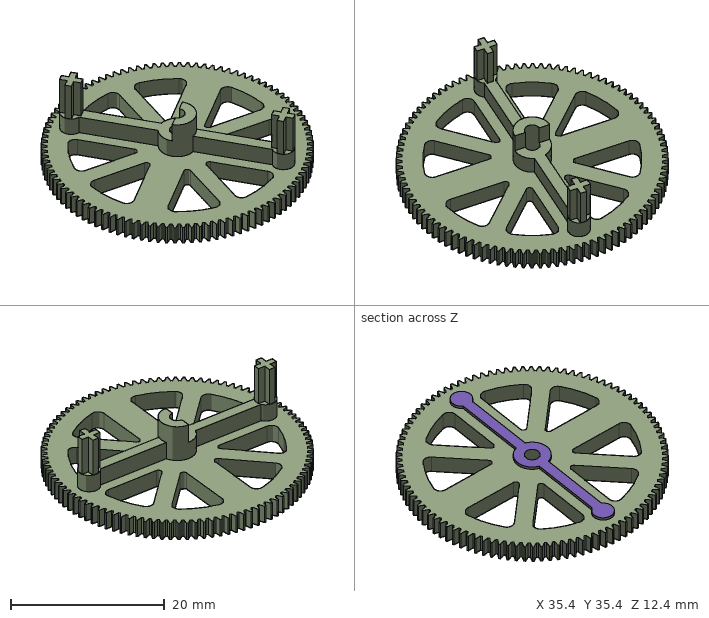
import cadquery as cq
import math

outer_dia = 35.4
tooth_count = 100
tooth_depth = 0.78
tip_width = 0.23
root_gap = 0.3
wheel_thickness = 2.5

rim_inner_radius = 14.23
main_spoke_width = 4.6
diagonal_spoke_width = 2.4
outer_corner_radius = 1.0
inner_corner_radius = 0.45

hub_dia = 5.0
bore_dia = 2.0
boss_depth = 2.0
half_collar_height = 2.7

arm_width = 1.6
arm_height = 2.5
post_offset = 14.3
post_base_dia = 3.0
cross_span = 2.9
cross_width = 0.9
cross_height = 5.38

arm_top = wheel_thickness + arm_height


def polar(radius, angle):
    """Point at a radius and an angle in radians about the wheel centre."""
    return (radius * math.cos(angle), radius * math.sin(angle))


def gear_blank():
    """Wheel disc with straight-flanked teeth, one tooth centred on +X."""
    tip_radius = outer_dia / 2
    root_radius = tip_radius - tooth_depth
    pitch = 2 * math.pi / tooth_count
    half_tip = tip_width / 2 / tip_radius
    half_root = pitch / 2 - root_gap / 2 / root_radius
    points = []
    for tooth in range(tooth_count):
        centre = tooth * pitch
        points.append(polar(root_radius, centre - half_root))
        points.append(polar(tip_radius, centre - half_tip))
        points.append(polar(tip_radius, centre + half_tip))
        points.append(polar(root_radius, centre + half_root))
    return cq.Workplane("XY").polyline(points).close().extrude(wheel_thickness)


def window():
    """Window between the +X spoke and the diagonal spoke at 45 degrees."""
    half_main = main_spoke_width / 2
    half_diagonal = diagonal_spoke_width / 2
    start_angle = math.asin(half_main / rim_inner_radius)
    end_angle = math.pi / 4 - math.asin(half_diagonal / rim_inner_radius)
    inner_corner = (half_main + half_diagonal * math.sqrt(2), half_main)
    shape = (
        cq.Workplane("XY")
        .moveTo(*inner_corner)
        .lineTo(*polar(rim_inner_radius, start_angle))
        .threePointArc(
            polar(rim_inner_radius, (start_angle + end_angle) / 2),
            polar(rim_inner_radius, end_angle),
        )
        .close()
        .extrude(wheel_thickness)
    )
    inner_edge = cq.selectors.NearestToPointSelector((*inner_corner, wheel_thickness / 2))
    shape = shape.edges(inner_edge).fillet(inner_corner_radius)
    rim_edges = cq.selectors.BoxSelector(
        (rim_inner_radius / 2, 0, 0), (rim_inner_radius, rim_inner_radius, wheel_thickness)
    )
    return shape.edges("|Z").edges(rim_edges).fillet(outer_corner_radius)


def cylinder(dia, bottom, top, x=0):
    """Upright cylinder between two heights, centred at x."""
    return cq.Workplane("XY", origin=(x, 0, bottom)).circle(dia / 2).extrude(top - bottom)


def box_above(x_size, y_size, bottom, height, x=0):
    """Box standing on the bottom height, centred at x."""
    return cq.Workplane("XY", origin=(x, 0, bottom)).rect(x_size, y_size).extrude(height)


wheel = gear_blank()
lower_window = window()
upper_window = lower_window.mirror("XZ").rotate((0, 0, 0), (0, 0, 1), 90)
for quadrant in range(4):
    for opening in (lower_window, upper_window):
        wheel = wheel.cut(opening.rotate((0, 0, 0), (0, 0, 1), 90 * quadrant))

hub = cylinder(hub_dia, -boss_depth, arm_top)
collar_half = box_above(hub_dia / 2, hub_dia, arm_top, half_collar_height, hub_dia / 4)
half_collar = cylinder(hub_dia, arm_top, arm_top + half_collar_height).intersect(collar_half)

result = wheel.union(hub).union(half_collar)
result = result.union(box_above(2 * post_offset, arm_width, wheel_thickness, arm_height))
for x in (-post_offset, post_offset):
    result = result.union(cylinder(post_base_dia, wheel_thickness, arm_top, x))
    result = result.union(box_above(cross_span, cross_width, arm_top, cross_height, x))
    result = result.union(box_above(cross_width, cross_span, arm_top, cross_height, x))

result = result.cut(cylinder(bore_dia, -boss_depth, arm_top + half_collar_height))